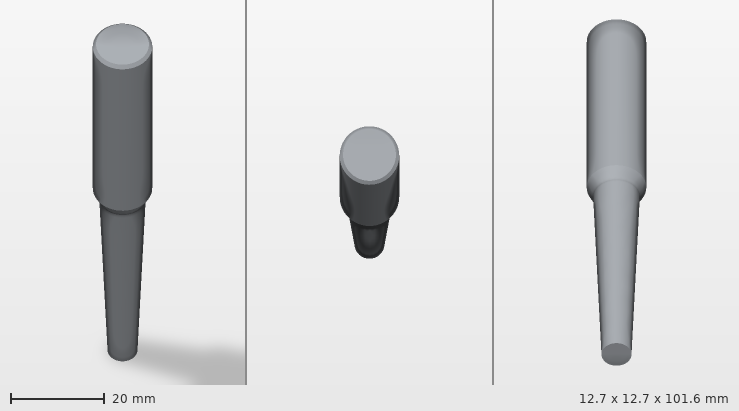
import cadquery as cq

total_length = 101.6
shank_diameter = 12.7

shank_length = 50.8
shoulder_height = 3.0
top_chamfer = 0.7

tip_top_diameter = 10.0
tip_bottom_diameter = 6.4
tip_length = total_length - shank_length


def revolve_about_z(profile_points):
    """Turn a closed profile of (radius, height) points around the Z axis."""
    profile = cq.Workplane("XZ").polyline(profile_points).close()
    return profile.revolve(360, (0, 0, 0), (0, 1, 0))


def make_shank():
    """Upper body, from the tip joint up to the chamfered top face."""
    radius = shank_diameter / 2
    return revolve_about_z([
        (0, tip_length),
        (tip_top_diameter / 2, tip_length),
        (radius, tip_length + shoulder_height),
        (radius, total_length - top_chamfer),
        (radius - top_chamfer, total_length),
        (0, total_length),
    ])


def make_tip():
    """Lower body, a cone narrowing from the shank to its flat end at Z = 0."""
    return revolve_about_z([
        (0, 0),
        (tip_bottom_diameter / 2, 0),
        (tip_top_diameter / 2, tip_length),
        (0, tip_length),
    ])


shank = make_shank()
tip = make_tip()

result = cq.Compound.makeCompound([shank.val(), tip.val()])